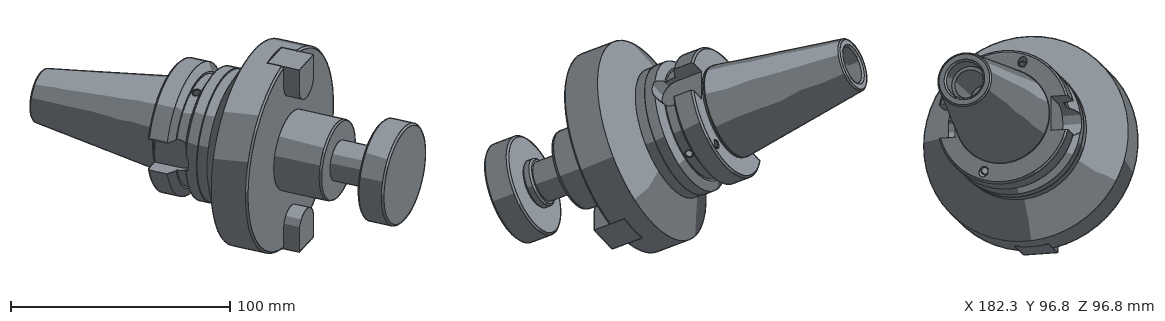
import cadquery as cq
import math

TAPER_LENGTH = 65.5
GAUGE_RADIUS = 22.2
RELIEF_RADIUS = 22.0
RELIEF_START = 66.0
RELIEF_RUN_OUT = 0.5
TAPER_RATIO = 7 / 24
TAPER_TIP_RADIUS = GAUGE_RADIUS - TAPER_LENGTH * TAPER_RATIO / 2
TAPER_TIP_CHAMFER = 0.7

FLANGE_START = 67.3
FLANGE_RADIUS = 31.5
FLANGE_CHAMFER = 1.0
GROOVE_CENTER = 82.0
GROOVE_FLOOR_WIDTH = 5.0
GROOVE_RADIUS = 26.5
GROOVE_WALL_RADIUS = 27.3
GROOVE_WALL_ANGLE = 60
GROOVE_WALL_RUN = (FLANGE_RADIUS - GROOVE_WALL_RADIUS) / math.tan(math.radians(GROOVE_WALL_ANGLE))
GROOVE_LEFT = GROOVE_CENTER - GROOVE_FLOOR_WIDTH / 2
GROOVE_RIGHT = GROOVE_CENTER + GROOVE_FLOOR_WIDTH / 2
FLANGE_END = 92.5
COLLAR_STEP = 0.27
COLLAR_RADIUS = FLANGE_RADIUS - COLLAR_STEP
COLLAR_END = 97.3

DISC_RADIUS = 96.8 / 2
DISC_START = 107.2
DISC_END = 125.2
DISC_CHAMFER = 1.0
PILOT_RADIUS = 38.1 / 2
PILOT_END = 149.1
PILOT_LEAD_LENGTH = 1.1
PILOT_LEAD_DEPTH = 0.4

BORE_MOUTH_RADIUS = 19.1 / 2
BORE_RADIUS = 17.3 / 2
BORE_DEPTH = 9.1
BORE_TAPER_START = 6.5
BORE_FLOOR_RADIUS = 17.0 / 2
THREAD_BORE_RADIUS = 7.0
THREAD_BORE_DEPTH = 36.5

SLOT_WIDTH = 16.0
SLOT_FLOOR = 22.6
SLOT_END = 88.2

COOLANT_DIAMETER = 3.3
COOLANT_MOUTH_DIAMETER = 4.0
MOUTH_DEPTH = 1.5
GROOVE_MOUTH_DEPTH = 0.4
COOLANT_ANGLE = 20
COOLANT_ENTRY_RADIUS = 27.0
COOLANT_TILT = 35
COOLANT_LENGTH = 18.2
CROSS_HOLE_DEPTH = 9.7

KEY_WIDTH = 16.0
KEY_LENGTH = 16.0
KEY_END = 133.0
KEY_TOP = 47.5
KEY_BOTTOM = 29.2

SHANK_RADIUS = 19.1 / 2
SHANK_INSERTION = 23.7
SCREW_COLLAR_START = 164.8
SCREW_COLLAR_RADIUS = 11.5
SCREW_COLLAR_CHAMFER = 1.0
HEAD_START = 169.3
HEAD_END = 182.3
HEAD_RADIUS = 24.0
HEAD_CHAMFER = 1.0


def revolve_profile(points):
    """Solid of revolution about X from (x, radius) points."""
    return cq.Workplane("XY").polyline(points).close().revolve(360, (0, 0, 0), (1, 0, 0))


def key_blank(top):
    """Key shape: flat sides, rounded towards the axis, ending at height `top` on the +Z side."""
    half = KEY_WIDTH / 2
    round_center = KEY_BOTTOM + half
    return (
        cq.Workplane("YZ", origin=(KEY_END - KEY_LENGTH, 0, 0))
        .moveTo(-half, top)
        .lineTo(-half, round_center)
        .threePointArc((0, KEY_BOTTOM), (half, round_center))
        .lineTo(half, top)
        .close()
        .extrude(KEY_LENGTH)
    )


def both_sides(shape):
    """The shape and its copy half a turn around X."""
    return [shape.rotate((0, 0, 0), (1, 0, 0), turn) for turn in (0, 180)]


def holder_body():
    return revolve_profile([
        (0, 0),
        (0, TAPER_TIP_RADIUS - TAPER_TIP_CHAMFER),
        (TAPER_TIP_CHAMFER, TAPER_TIP_RADIUS),
        (TAPER_LENGTH, GAUGE_RADIUS),
        (RELIEF_START, GAUGE_RADIUS),
        (RELIEF_START + RELIEF_RUN_OUT, RELIEF_RADIUS),
        (FLANGE_START, RELIEF_RADIUS),
        (FLANGE_START, FLANGE_RADIUS - FLANGE_CHAMFER),
        (FLANGE_START + FLANGE_CHAMFER, FLANGE_RADIUS),
        (GROOVE_LEFT - GROOVE_WALL_RUN, FLANGE_RADIUS),
        (GROOVE_LEFT, GROOVE_WALL_RADIUS),
        (GROOVE_LEFT, GROOVE_RADIUS),
        (GROOVE_RIGHT, GROOVE_RADIUS),
        (GROOVE_RIGHT, GROOVE_WALL_RADIUS),
        (GROOVE_RIGHT + GROOVE_WALL_RUN, FLANGE_RADIUS),
        (FLANGE_END - COLLAR_STEP, FLANGE_RADIUS),
        (FLANGE_END, COLLAR_RADIUS),
        (COLLAR_END, COLLAR_RADIUS),
        (DISC_START, DISC_RADIUS),
        (DISC_END - DISC_CHAMFER, DISC_RADIUS),
        (DISC_END, DISC_RADIUS - DISC_CHAMFER),
        (DISC_END, PILOT_RADIUS),
        (PILOT_END - PILOT_LEAD_LENGTH, PILOT_RADIUS),
        (PILOT_END, PILOT_RADIUS - PILOT_LEAD_DEPTH),
        (PILOT_END, 0),
    ])


def drawbar_bore():
    return revolve_profile([
        (0, 0),
        (0, BORE_MOUTH_RADIUS),
        (BORE_MOUTH_RADIUS - BORE_RADIUS, BORE_RADIUS),
        (BORE_TAPER_START, BORE_RADIUS),
        (BORE_DEPTH, BORE_FLOOR_RADIUS),
        (BORE_DEPTH, THREAD_BORE_RADIUS),
        (THREAD_BORE_DEPTH, THREAD_BORE_RADIUS),
        (THREAD_BORE_DEPTH, 0),
    ])


def drive_slot():
    """Round-ended slot on the -Y side, open towards the taper."""
    half = SLOT_WIDTH / 2
    round_center = SLOT_END - half
    return (
        cq.Workplane("XZ", origin=(0, -SLOT_FLOOR, 0))
        .moveTo(FLANGE_START, -half)
        .lineTo(round_center, -half)
        .threePointArc((SLOT_END, 0), (round_center, half))
        .lineTo(FLANGE_START, half)
        .close()
        .extrude(FLANGE_RADIUS)
    )


def stepped_hole(mouth, direction, mouth_depth, depth):
    """Counterbored hole; its tool starts outside the surface so that the whole mouth is opened."""
    lead = COOLANT_MOUTH_DIAMETER
    start = mouth - direction * lead
    bore = cq.Solid.makeCylinder(COOLANT_DIAMETER / 2, depth + lead, start, direction)
    counterbore = cq.Solid.makeCylinder(COOLANT_MOUTH_DIAMETER / 2, mouth_depth + lead, start, direction)
    return cq.Workplane(bore).union(cq.Workplane(counterbore))


def coolant_hole():
    """Slanted hole from the flange face and the radial hole from the groove that meets it."""
    tilt = math.radians(COOLANT_TILT)
    slanted = stepped_hole(
        cq.Vector(FLANGE_START, 0, COOLANT_ENTRY_RADIUS),
        cq.Vector(math.cos(tilt), 0, -math.sin(tilt)),
        MOUTH_DEPTH,
        COOLANT_LENGTH,
    )
    radial = stepped_hole(
        cq.Vector(GROOVE_CENTER, 0, GROOVE_RADIUS),
        cq.Vector(0, 0, -1),
        GROOVE_MOUTH_DEPTH,
        CROSS_HOLE_DEPTH,
    )
    return slanted.union(radial).rotate((0, 0, 0), (1, 0, 0), COOLANT_ANGLE)


def screw_hole():
    return cq.Workplane("YZ", origin=(PILOT_END, 0, 0)).circle(SHANK_RADIUS).extrude(-SHANK_INSERTION)


def make_holder():
    body = holder_body().cut(drawbar_bore()).cut(screw_hole())
    for feature in (drive_slot(), coolant_hole(), key_blank(DISC_RADIUS)):
        for tool in both_sides(feature):
            body = body.cut(tool)
    return body


def make_keys():
    return both_sides(key_blank(KEY_TOP))


def make_screw():
    return revolve_profile([
        (PILOT_END - SHANK_INSERTION, 0),
        (PILOT_END - SHANK_INSERTION, SHANK_RADIUS),
        (SCREW_COLLAR_START, SHANK_RADIUS),
        (SCREW_COLLAR_START, SCREW_COLLAR_RADIUS - SCREW_COLLAR_CHAMFER),
        (SCREW_COLLAR_START + SCREW_COLLAR_CHAMFER, SCREW_COLLAR_RADIUS),
        (HEAD_START - SCREW_COLLAR_CHAMFER, SCREW_COLLAR_RADIUS),
        (HEAD_START, SCREW_COLLAR_RADIUS - SCREW_COLLAR_CHAMFER),
        (HEAD_START, HEAD_RADIUS - HEAD_CHAMFER),
        (HEAD_START + HEAD_CHAMFER, HEAD_RADIUS),
        (HEAD_END - HEAD_CHAMFER, HEAD_RADIUS),
        (HEAD_END, HEAD_RADIUS - HEAD_CHAMFER),
        (HEAD_END, 0),
    ])


holder = make_holder()
keys = make_keys()
screw = make_screw()

result = cq.Compound.makeCompound([holder.val(), *[key.val() for key in keys], screw.val()])